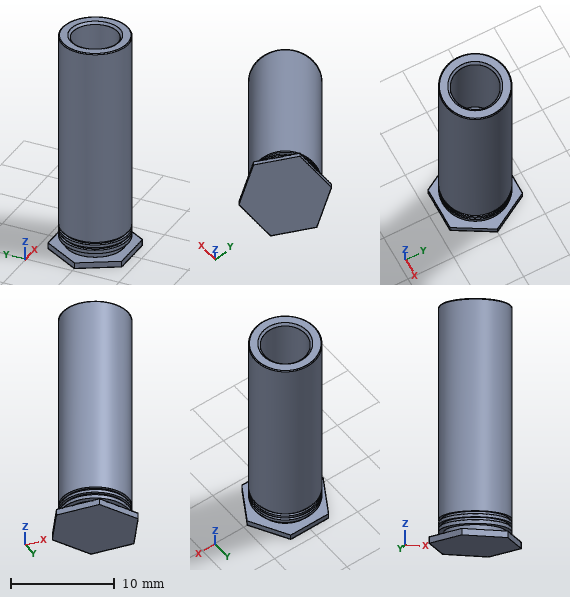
import cadquery as cq
import math

total_height = 23.8
hex_across_flats = 7.93
hex_across_corners = hex_across_flats / math.cos(math.radians(30))
head_height = 0.65

barrel_diameter = 7.12
neck_diameter = 6.1
groove_diameter = 6.6
neck_top = 1.35
ring_height = 0.38
groove_width = 0.29
groove_pitch = 0.6
groove_count = 2
rim_chamfer = 0.1

bore_diameter = 4.83
bore_depth = 9.52
drill_point_angle = 120.0
mouth_chamfer = 0.25


def make_head():
    """Hexagonal head with corners on the X axis."""
    return cq.Workplane("XY").polygon(6, hex_across_corners).extrude(head_height)


def make_shank():
    """Reduced neck above the head, then the barrel with a chamfered rim."""
    neck = (
        cq.Workplane("XY", origin=(0, 0, head_height))
        .circle(neck_diameter / 2)
        .extrude(neck_top - head_height)
    )
    barrel = (
        cq.Workplane("XY", origin=(0, 0, neck_top))
        .circle(barrel_diameter / 2)
        .extrude(total_height - neck_top)
        .faces(">Z")
        .edges()
        .chamfer(rim_chamfer)
    )
    return neck.union(barrel)


def make_groove(bottom):
    """Ring of material to remove for one groove."""
    return (
        cq.Workplane("XY", origin=(0, 0, bottom))
        .circle(barrel_diameter / 2)
        .circle(groove_diameter / 2)
        .extrude(groove_width)
    )


def make_bore():
    """Revolved cutter: chamfered mouth, straight bore and conical bottom."""
    bore_radius = bore_diameter / 2
    bore_bottom = total_height - bore_depth
    point_depth = bore_radius / math.tan(math.radians(drill_point_angle / 2))
    return (
        cq.Workplane("XZ")
        .moveTo(0, total_height)
        .lineTo(bore_radius + mouth_chamfer, total_height)
        .lineTo(bore_radius, total_height - mouth_chamfer)
        .lineTo(bore_radius, bore_bottom)
        .lineTo(0, bore_bottom - point_depth)
        .close()
        .revolve(360, (0, 0, 0), (0, 1, 0))
    )


result = make_head().union(make_shank())
for index in range(groove_count):
    result = result.cut(make_groove(neck_top + ring_height + index * groove_pitch))
result = result.cut(make_bore())